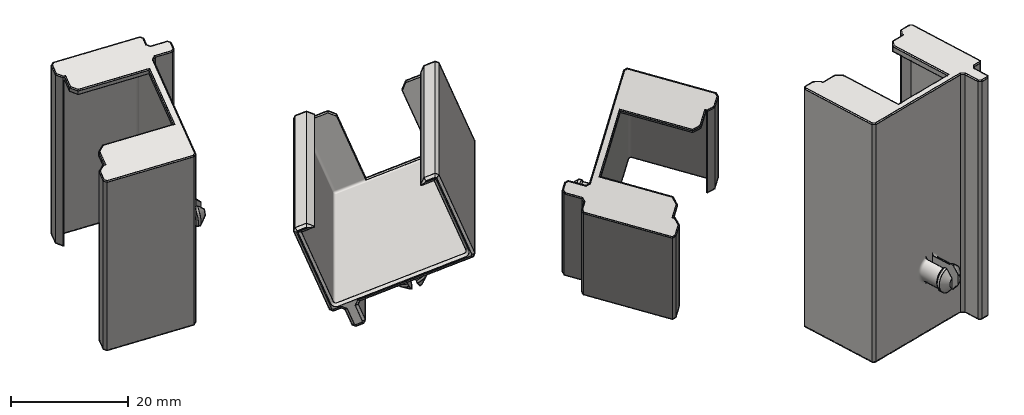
import cadquery as cq

height = 49.2
width = 26.8
total_depth = 22.8
body_depth = 16.75
wall = 1.2
edge_chamfer = 0.5
top_chamfer = 0.2

cap_thickness = 1.2
cap_front = 1.35
cavity_fillet = 0.5
slot_width = 12.1
slot_center = -0.25
slot_corner_chamfer = 1.15
slot_back_wall = 1.5

opening_width = 19.6
lip_bevel = 1.05

rib_width = 2.45
rib_center = -9.75
rib_end = 20.8

pin_x = slot_center
pin_z = 13.25
pin_radius = 2.35
pin_head_radius = 2.6
pin_tip_radius = 1.3
pin_root_fillet = 0.5
pin_gap = 1.53
pin_cone_length = 1.25
pin_head_length = 0.5
pin_neck_length = 0.35

half_opening = opening_width / 2
cavity_back = body_depth - wall
slot_back = body_depth - slot_back_wall


def make_body():
    """Outer block with its back rib; the front face lies on y = 0."""
    block = (
        cq.Workplane("XY")
        .rect(width, body_depth)
        .extrude(height)
        .translate((0, body_depth / 2, 0))
        .edges("|Z")
        .chamfer(edge_chamfer)
    )
    half_rib = rib_width / 2
    half_root = half_rib + edge_chamfer
    half_tip = half_rib - edge_chamfer
    rib = (
        cq.Workplane("XY")
        .polyline([
            (rib_center - half_root, cavity_back),
            (rib_center - half_root, body_depth),
            (rib_center - half_rib, body_depth + edge_chamfer),
            (rib_center - half_rib, rib_end - edge_chamfer),
            (rib_center - half_tip, rib_end),
            (rib_center + half_tip, rib_end),
            (rib_center + half_rib, rib_end - edge_chamfer),
            (rib_center + half_rib, body_depth + edge_chamfer),
            (rib_center + half_root, body_depth),
            (rib_center + half_root, cavity_back),
        ])
        .close()
        .extrude(height)
    )
    return block.union(rib).faces("<Z").edges().chamfer(edge_chamfer)


def flare_bottom(tool):
    """Widen the lower end of a cutting tool by a 45 degree flare."""
    flare = (
        tool.faces("<Z")
        .wires()
        .toPending()
        .offset2D(edge_chamfer, "intersection")
        .extrude(edge_chamfer, taper=45)
    )
    return tool.union(flare)


def make_opening():
    """Full-height gap between the beveled lips at the front."""
    gap = (
        cq.Workplane("XY")
        .polyline([
            (-half_opening - lip_bevel, 0),
            (-half_opening, lip_bevel),
            (-half_opening, cap_front),
            (half_opening, cap_front),
            (half_opening, lip_bevel),
            (half_opening + lip_bevel, 0),
        ])
        .close()
        .extrude(height)
    )
    return flare_bottom(gap)


def make_cavity():
    """Inside of the channel, rounded at the back corners and under the cap."""
    cavity_depth = cavity_back - wall
    inside = (
        cq.Workplane("XY")
        .center(0, wall + cavity_depth / 2)
        .rect(width - 2 * wall, cavity_depth)
        .extrude(height - cap_thickness)
        .edges("(|Z or >Z) and (not <Y)")
        .fillet(cavity_fillet)
    )
    return flare_bottom(inside)


def make_slot():
    """Slot through the cap, flared where it meets the front."""
    slot_cut_depth = cap_thickness + cavity_fillet
    half_slot = slot_width / 2
    half_mouth = half_slot + slot_corner_chamfer
    return (
        cq.Workplane("XY")
        .workplane(offset=height - slot_cut_depth)
        .polyline([
            (slot_center - half_mouth, cap_front),
            (slot_center - half_slot, cap_front + slot_corner_chamfer),
            (slot_center - half_slot, slot_back),
            (slot_center + half_slot, slot_back),
            (slot_center + half_slot, cap_front + slot_corner_chamfer),
            (slot_center + half_mouth, cap_front),
        ])
        .close()
        .extrude(slot_cut_depth)
    )


def make_pin():
    """Turned snap pin along +Y, split by a vertical gap into two prongs."""
    cone_start = total_depth - pin_cone_length
    head_start = cone_start - pin_head_length
    neck_start = head_start - pin_neck_length
    root_radius = pin_radius + pin_root_fillet
    root_end = body_depth + pin_root_fillet
    embedded = body_depth - wall / 2
    turned = (
        cq.Workplane("XY")
        .moveTo(0, embedded)
        .lineTo(root_radius, embedded)
        .lineTo(root_radius, body_depth)
        .radiusArc((pin_radius, root_end), pin_root_fillet)
        .lineTo(pin_radius, neck_start)
        .lineTo(pin_head_radius, head_start)
        .lineTo(pin_head_radius, cone_start)
        .lineTo(pin_tip_radius, total_depth)
        .lineTo(0, total_depth)
        .close()
        .revolve(360, (0, 0, 0), (0, 1, 0))
    )
    pin_length = total_depth - body_depth
    gap = (
        cq.Workplane("XY")
        .box(pin_gap, pin_length, 2 * root_radius)
        .translate((0, body_depth + pin_length / 2, 0))
    )
    return turned.cut(gap).translate((pin_x, 0, pin_z))


channel = make_body().cut(make_opening()).cut(make_cavity()).cut(make_slot())
channel = channel.faces(">Z").edges().chamfer(top_chamfer)

result = channel.union(make_pin())